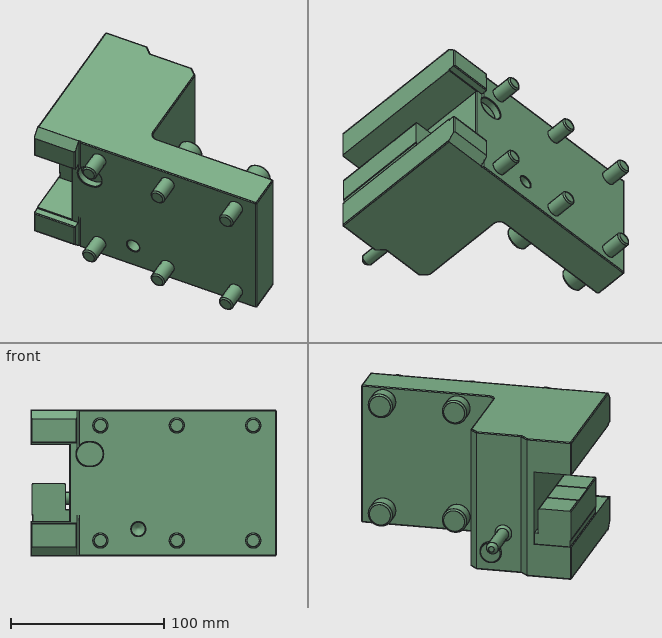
import cadquery as cq

LENGTH = 160.0
HEIGHT = 95.0
PLATE_DEPTH = 25.0
BLOCK_LENGTH = 70.0
BLOCK_DEPTH = 95.0
LIP_LENGTH = 30.0
LIP_DEPTH = 100.0
CORNER = 5.0
EDGE = 0.6
MID_Z = HEIGHT / 2

SLOT_LENGTH = 25.0
SLOT_HEIGHT = 50.0
SLOT_BOTTOM = MID_Z - SLOT_HEIGHT / 2
SLOT_TOP = MID_Z + SLOT_HEIGHT / 2

FOOT_PROJECTION = 5.0
FOOT_HEIGHT = 21.5
FOOT_ROOT = EDGE
FOOT_BEVEL = FOOT_PROJECTION + FOOT_ROOT

GROOVE_WIDTH = 1.8
GROOVE_FLOOR = 1.1
GROOVE_HEIGHT = 26.4
GROOVE_DEPTH = 1.0

SCREW_DIAMETER = 10.0
SCREW_PROJECTION = 15.0
SCREW_CHAMFER = 1.0
HEAD_DIAMETER = 16.3
HEAD_HEIGHT = 10.0
HEAD_CHAMFER = 1.1
SCREW_END_INSET = 15.0
SCREW_PITCH_X = 50.0
SCREW_PITCH_Z = 75.2
SCREW_COLUMNS = [LENGTH - SCREW_END_INSET - i * SCREW_PITCH_X for i in range(3)]
SCREW_ROWS = [MID_Z - SCREW_PITCH_Z / 2, MID_Z + SCREW_PITCH_Z / 2]

POCKET_X = 38.2
POCKET_Z = 66.4
POCKET_LENGTH = 18.2
POCKET_HEIGHT = 16.5
POCKET_DEPTH = 5.0
HOLE_X = 70.0
HOLE_Z = 17.5
HOLE_DIAMETER = 9.0
HOLE_DEPTH = 15.0
RIM_CHAMFER = 0.5
HOLE_POINT = 2.9

CLAMP_START_X = 0.5
CLAMP_END_X = 22.4
CLAMP_TOP = 47.2
CLAMP_FRONT_Y = 31.4
CLAMP_BACK_Y = 99.4
CLAMP_BASE_TOP = 30.0
CLAMP_RECESS_START = 52.6
CLAMP_RECESS_END = 76.8
CLAMP_RECESS_DEPTH = 0.3
UNDERCUT_TOP = 26.7
UNDERCUT_DEPTH = 0.5
CLAMP_PIN_DIAMETER = 8.0
CLAMP_PIN_Z = 37.6

ROD_X = 46.9
ROD_Z = 26.5
ROD_DIAMETER = 8.0
ROD_END_Y = 127.4
ROD_TIP_LENGTH = 2.4
ROD_TIP_RADIUS = 2.0
COLLAR_RADIUS = 5.6
COLLAR_LENGTH = 2.0
BUTTON_X = 55.4
BUTTON_Z = 12.8
BUTTON_DIAMETER = 14.4
BUTTON_HEIGHT = 1.3
BUTTON_CHAMFER = 0.6


def box(x0, x1, y0, y1, z0, z1):
    """Box spanning the given limits."""
    return cq.Workplane("XY").box(x1 - x0, y1 - y0, z1 - z0, centered=False).translate((x0, y0, z0))


def cylinder_y(x, z, diameter, y0, y1):
    """Cylinder along Y between two depths."""
    return cq.Workplane("XZ", origin=(x, y0, z)).circle(diameter / 2).extrude(y0 - y1)


def cone_y(x, z, radius0, radius1, y0, y1):
    """Cone along +Y with a radius at each end."""
    return cq.Workplane(
        cq.Solid.makeCone(radius0, radius1, y1 - y0, cq.Vector(x, y0, z), cq.Vector(0, 1, 0))
    )


def mirror_z(shape):
    """Copy of a shape mirrored about the mid height."""
    return shape.mirror("XY", (0, 0, MID_Z))


def make_body():
    """L-shaped body with broken edges and the arm slot."""
    outline = (
        cq.Workplane("XY")
        .moveTo(0, 0)
        .lineTo(LENGTH - EDGE, 0)
        .lineTo(LENGTH, EDGE)
        .lineTo(LENGTH, PLATE_DEPTH - EDGE)
        .lineTo(LENGTH - EDGE, PLATE_DEPTH)
        .lineTo(BLOCK_LENGTH + CORNER, PLATE_DEPTH)
        .radiusArc((BLOCK_LENGTH, PLATE_DEPTH + CORNER), CORNER)
        .lineTo(BLOCK_LENGTH, BLOCK_DEPTH - CORNER)
        .lineTo(BLOCK_LENGTH - CORNER, BLOCK_DEPTH)
        .lineTo(LIP_LENGTH + LIP_DEPTH - BLOCK_DEPTH, BLOCK_DEPTH)
        .lineTo(LIP_LENGTH, LIP_DEPTH)
        .lineTo(EDGE, LIP_DEPTH)
        .lineTo(0, LIP_DEPTH - EDGE)
        .close()
    )
    body = outline.extrude(HEIGHT).faces("<Z or >Z").edges().chamfer(EDGE)
    slot = box(0, SLOT_LENGTH, 0, LIP_DEPTH, SLOT_BOTTOM, SLOT_TOP)
    wall_bevel = (
        cq.Workplane("XY", origin=(0, 0, SLOT_BOTTOM))
        .moveTo(SLOT_LENGTH, 0)
        .lineTo(SLOT_LENGTH + EDGE, 0)
        .lineTo(SLOT_LENGTH, EDGE)
        .close()
        .extrude(SLOT_HEIGHT)
    )
    return body.cut(slot).cut(wall_bevel)


def make_foot():
    """Lower foot, bevelled along its outer edge."""
    foot = (
        cq.Workplane("YZ")
        .moveTo(FOOT_ROOT, 0)
        .lineTo(FOOT_ROOT - FOOT_BEVEL, FOOT_BEVEL)
        .lineTo(-FOOT_PROJECTION, FOOT_HEIGHT)
        .lineTo(FOOT_ROOT, FOOT_HEIGHT)
        .close()
        .extrude(LIP_LENGTH)
    )
    return foot.faces("<Y").edges("|Z or >Z").chamfer(EDGE)


def make_groove():
    """Lower relief groove with a sloped outer wall, running out to the surface past the foot."""
    section = (
        cq.Workplane("XY")
        .moveTo(LIP_LENGTH, 0)
        .lineTo(LIP_LENGTH + GROOVE_WIDTH, 0)
        .lineTo(LIP_LENGTH + GROOVE_FLOOR, GROOVE_DEPTH)
        .lineTo(LIP_LENGTH, GROOVE_DEPTH)
        .close()
        .extrude(GROOVE_HEIGHT)
    )
    run_out = (
        cq.Workplane("YZ", origin=(LIP_LENGTH, 0, 0))
        .lineTo(GROOVE_DEPTH, 0)
        .lineTo(GROOVE_DEPTH, SLOT_BOTTOM)
        .lineTo(0, GROOVE_HEIGHT)
        .close()
        .extrude(GROOVE_WIDTH)
    )
    return section.intersect(run_out)


def make_pocket():
    """Oblong flat-bottomed pocket with a chamfered rim."""
    mouth = cq.Workplane("XZ", origin=(POCKET_X, 0, POCKET_Z))
    rim = mouth.slot2D(POCKET_LENGTH, POCKET_HEIGHT).extrude(-RIM_CHAMFER, taper=45)
    inset = 2 * RIM_CHAMFER
    pocket = mouth.slot2D(POCKET_LENGTH - inset, POCKET_HEIGHT - inset).extrude(-POCKET_DEPTH)
    return pocket.union(rim)


def make_hole():
    """Blind hole with a chamfered rim and a drill point."""
    radius = HOLE_DIAMETER / 2
    rim = cone_y(HOLE_X, HOLE_Z, radius + RIM_CHAMFER, radius, 0, RIM_CHAMFER)
    point = cone_y(HOLE_X, HOLE_Z, radius, 0, HOLE_DEPTH, HOLE_DEPTH + HOLE_POINT)
    return cylinder_y(HOLE_X, HOLE_Z, HOLE_DIAMETER, 0, HOLE_DEPTH).union(rim).union(point)


def make_screw(x, z):
    """Mounting screw: shank through the plate and a head on its back."""
    shank = cylinder_y(x, z, SCREW_DIAMETER, -SCREW_PROJECTION, PLATE_DEPTH)
    head = cylinder_y(x, z, HEAD_DIAMETER, PLATE_DEPTH, PLATE_DEPTH + HEAD_HEIGHT)
    return shank.faces("<Y").chamfer(SCREW_CHAMFER).union(head.faces(">Y").chamfer(HEAD_CHAMFER))


def make_clamp():
    """Clamp block with a wide base, an undercut -X edge, a recessed top and a pin to the slot wall."""
    upper = box(CLAMP_START_X, CLAMP_END_X, CLAMP_FRONT_Y, CLAMP_BACK_Y, SLOT_BOTTOM, CLAMP_TOP)
    upper = upper.faces(">Z").edges("|Y").chamfer(EDGE)
    base = box(CLAMP_END_X, SLOT_LENGTH, CLAMP_FRONT_Y, CLAMP_BACK_Y, SLOT_BOTTOM, CLAMP_BASE_TOP)
    undercut = box(
        CLAMP_START_X, CLAMP_START_X + UNDERCUT_DEPTH,
        CLAMP_FRONT_Y, CLAMP_BACK_Y,
        SLOT_BOTTOM, UNDERCUT_TOP,
    )
    recess = box(
        CLAMP_START_X, CLAMP_END_X,
        CLAMP_RECESS_START, CLAMP_RECESS_END,
        CLAMP_TOP - CLAMP_RECESS_DEPTH, CLAMP_TOP,
    )
    pin_y = (CLAMP_FRONT_Y + CLAMP_BACK_Y) / 2
    pin = (
        cq.Workplane("YZ", origin=(CLAMP_END_X, pin_y, CLAMP_PIN_Z))
        .circle(CLAMP_PIN_DIAMETER / 2)
        .extrude(SLOT_LENGTH - CLAMP_END_X)
    )
    return upper.union(base).cut(undercut).cut(recess).union(pin)


def make_rod():
    """Setting rod with a conical tip and a flared collar at its root."""
    tip_y = ROD_END_Y - ROD_TIP_LENGTH
    radius = ROD_DIAMETER / 2
    rod = cylinder_y(ROD_X, ROD_Z, ROD_DIAMETER, BLOCK_DEPTH, tip_y)
    tip = cone_y(ROD_X, ROD_Z, radius, ROD_TIP_RADIUS, tip_y, ROD_END_Y)
    collar = cone_y(ROD_X, ROD_Z, COLLAR_RADIUS, radius, BLOCK_DEPTH, BLOCK_DEPTH + COLLAR_LENGTH)
    return rod.union(tip).union(collar)


def make_button():
    """Low round button beside the rod."""
    button = cylinder_y(BUTTON_X, BUTTON_Z, BUTTON_DIAMETER, BLOCK_DEPTH, BLOCK_DEPTH + BUTTON_HEIGHT)
    return button.faces(">Y").chamfer(BUTTON_CHAMFER)


result = make_body()
for cutter in (make_groove(), mirror_z(make_groove()), make_pocket(), make_hole()):
    result = result.cut(cutter)
for addition in (make_foot(), mirror_z(make_foot()), make_clamp(), make_rod(), make_button()):
    result = result.union(addition)

for column in SCREW_COLUMNS:
    for row in SCREW_ROWS:
        result = result.union(make_screw(column, row))